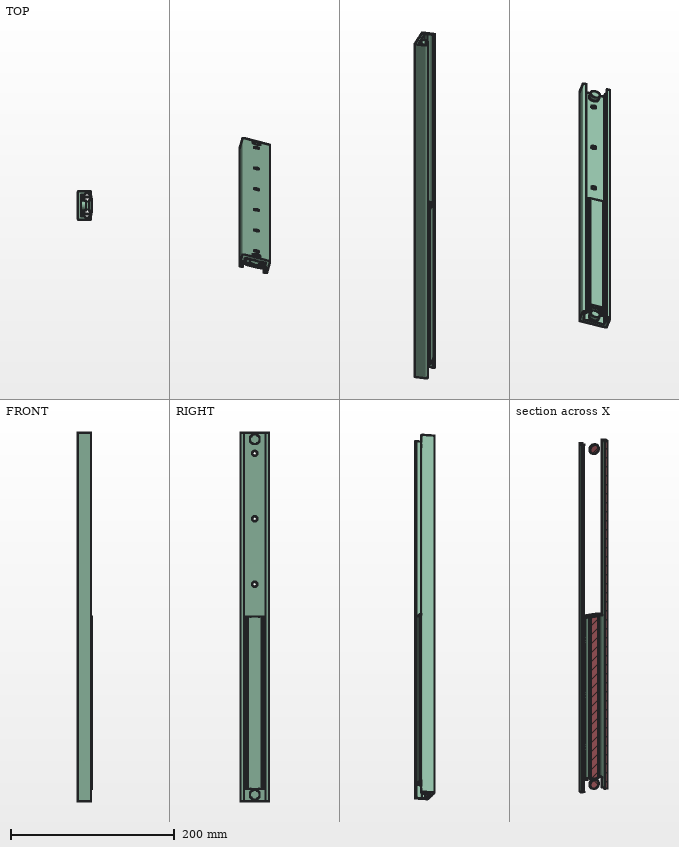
import cadquery as cq

RAIL_LENGTH = 450.0
RAIL_WIDTH = 35.0
RAIL_DEPTH = 16.0
WEB_THICKNESS = 4.0
FLANGE_THICKNESS = 4.5
CORNER_RADIUS = 1.58

GROOVE_START_X = 8.0
GROOVE_END_X = 15.0
GROOVE_DEPTH = 2.0

MOUNTING_HOLE_DIAMETER = 6.0
MOUNTING_HOLE_COUNT = 6
MOUNTING_HOLE_END_DISTANCE = 25.0

BUMPER_HEAD_DIAMETER = 12.0
BUMPER_HEAD_HEIGHT = 6.5
BUMPER_STUD_DIAMETER = 10.0
BUMPER_END_DISTANCE = 8.0

CARRIAGE_BOTTOM_Z = 15.5
CARRIAGE_LENGTH = 210.0
CARRIAGE_START_X = 4.5

SLIDER_FRONT_X = 17.0
SLIDER_SHOULDER_X = 16.5
SLIDER_WIDTH = 21.5
SLIDER_SHEET = 1.12
PLATE_WIDTH = 16.0
PLATE_THICKNESS = 3.5
PLATE_BACK_WIDTH = 11.0

RETAINER_BASE_WIDTH = PLATE_WIDTH
RETAINER_BASE_THICKNESS = 3.5
RETAINER_STEM_WIDTH = 10.5

BUMPER_HEIGHTS = [BUMPER_END_DISTANCE, RAIL_LENGTH - BUMPER_END_DISTANCE]


def disc_along_x(diameter, start_x, length, z):
    """A cylinder on the middle plane of the rail, running in +X from start_x."""
    return (
        cq.Workplane("YZ", origin=(start_x, 0, z))
        .circle(diameter / 2)
        .extrude(length)
    )


def symmetric_bar(half_outline, bottom_z, length):
    """A bar along Z from the +Y half of its XY outline, mirrored to -Y."""
    mirrored_half = [(x, -y) for x, y in reversed(half_outline)]
    return (
        cq.Workplane("XY", origin=(0, 0, bottom_z))
        .polyline(half_outline + mirrored_half)
        .close()
        .extrude(length)
    )


def make_groove(side):
    """The round-bottomed ball groove to cut from the flange on the given Y side (1 or -1)."""
    flange_inner_y = RAIL_WIDTH / 2 - FLANGE_THICKNESS
    middle_x = (GROOVE_START_X + GROOVE_END_X) / 2
    return (
        cq.Workplane("XY")
        .moveTo(GROOVE_START_X, side * flange_inner_y)
        .threePointArc(
            (middle_x, side * (flange_inner_y + GROOVE_DEPTH)),
            (GROOVE_END_X, side * flange_inner_y),
        )
        .close()
        .extrude(RAIL_LENGTH)
    )


def make_rail():
    half_width = RAIL_WIDTH / 2
    flange_inner_y = half_width - FLANGE_THICKNESS
    half_outline = [
        (WEB_THICKNESS, flange_inner_y),
        (RAIL_DEPTH, flange_inner_y),
        (RAIL_DEPTH, half_width),
        (0, half_width),
    ]
    rail = symmetric_bar(half_outline, 0, RAIL_LENGTH)

    rail = rail.edges("|Z").edges("<Y or >Y").fillet(CORNER_RADIUS)

    for side in (-1, 1):
        rail = rail.cut(make_groove(side))

    hole_pitch = (RAIL_LENGTH - 2 * MOUNTING_HOLE_END_DISTANCE) / (MOUNTING_HOLE_COUNT - 1)
    for index in range(MOUNTING_HOLE_COUNT):
        hole_z = MOUNTING_HOLE_END_DISTANCE + index * hole_pitch
        rail = rail.cut(disc_along_x(MOUNTING_HOLE_DIAMETER, 0, WEB_THICKNESS, hole_z))

    for bumper_z in BUMPER_HEIGHTS:
        rail = rail.cut(disc_along_x(BUMPER_STUD_DIAMETER, 0, WEB_THICKNESS, bumper_z))
    return rail


def make_bumper(z):
    stud = disc_along_x(BUMPER_STUD_DIAMETER, 0, WEB_THICKNESS, z)
    head = disc_along_x(BUMPER_HEAD_DIAMETER, WEB_THICKNESS, BUMPER_HEAD_HEIGHT, z)
    return stud.union(head)


def make_slider():
    outer_y = SLIDER_WIDTH / 2
    inner_y = outer_y - SLIDER_SHEET
    shoulder_back_x = SLIDER_SHOULDER_X - SLIDER_SHEET
    half_outline = [
        (SLIDER_FRONT_X - PLATE_THICKNESS, PLATE_BACK_WIDTH / 2),
        (shoulder_back_x, PLATE_WIDTH / 2),
        (shoulder_back_x, inner_y),
        (CARRIAGE_START_X, inner_y),
        (CARRIAGE_START_X, outer_y),
        (SLIDER_SHOULDER_X, outer_y),
        (SLIDER_SHOULDER_X, PLATE_WIDTH / 2),
        (SLIDER_FRONT_X, PLATE_WIDTH / 2),
    ]
    return symmetric_bar(half_outline, CARRIAGE_BOTTOM_Z, CARRIAGE_LENGTH)


def make_retainer():
    base_front_x = CARRIAGE_START_X + RETAINER_BASE_THICKNESS
    plate_back_x = SLIDER_FRONT_X - PLATE_THICKNESS
    half_outline = [
        (plate_back_x, RETAINER_STEM_WIDTH / 2),
        (base_front_x, RETAINER_STEM_WIDTH / 2),
        (base_front_x, RETAINER_BASE_WIDTH / 2),
        (CARRIAGE_START_X, RETAINER_BASE_WIDTH / 2),
    ]
    return symmetric_bar(half_outline, CARRIAGE_BOTTOM_Z, CARRIAGE_LENGTH)


rail = make_rail()
bumpers = [make_bumper(z) for z in BUMPER_HEIGHTS]
slider = make_slider()
retainer = make_retainer()

result = cq.Compound.makeCompound(
    [
        rail.val(),
        *[bumper.val() for bumper in bumpers],
        slider.val(),
        retainer.val(),
    ]
)